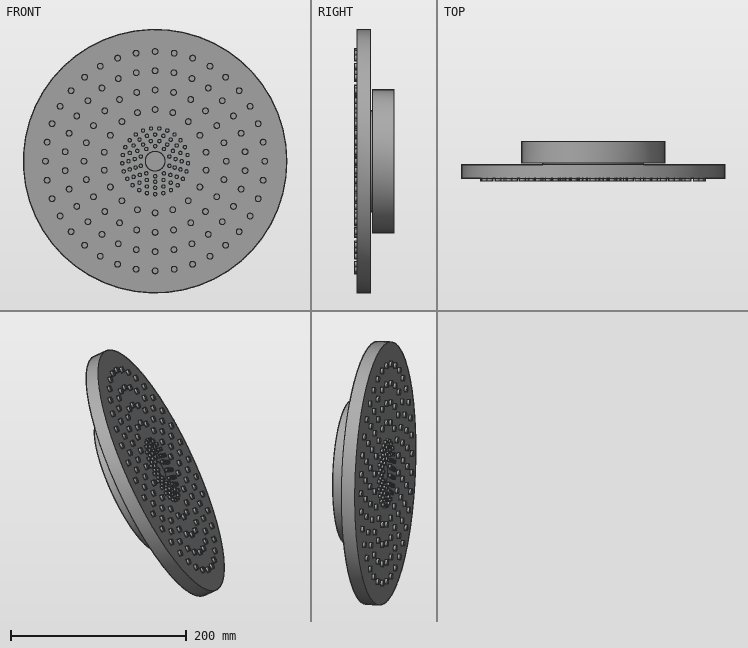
import cadquery as cq
import math

plate_diameter = 300.2
plate_thickness = 15.5
neck_diameter = 115.3
neck_thickness = 1.8
housing_diameter = 163.3
housing_thickness = 25.0
plug_diameter = 22.5

nozzle_length = 3.0
large_nozzle_diameter = 6.5
small_nozzle_diameter = 4.0

large_nozzle_rings = [(58.8, 18), (81.0, 24), (103.0, 30), (125.0, 36)]
small_nozzle_rings = [(17.0, 10), (23.5, 15), (30.3, 20), (37.5, 25)]
first_large_angle = 90.0
first_small_angle = -90.0

mat_diameter = 270.2
front_wall = plate_thickness / 2
mat_thickness = plate_thickness - front_wall

plate_front = 0.0
nozzle_tip = plate_front - nozzle_length
mat_front = plate_front + front_wall
plate_back = plate_front + plate_thickness
neck_back = plate_back + neck_thickness


def disc(diameter, front, thickness):
    """Round disc about the Y axis, from its front face towards +Y."""
    plane = cq.Workplane("XZ", origin=(0, front, 0))
    return plane.circle(diameter / 2).extrude(-thickness)


def nozzle_pegs(rings, diameter, first_angle):
    """Rings of round pegs from the nozzle tips back to the mat."""
    points = []
    for radius, count in rings:
        for i in range(count):
            angle = math.radians(first_angle + 360.0 * i / count)
            points.append((radius * math.cos(angle), radius * math.sin(angle)))
    tip_plane = cq.Workplane("XZ", origin=(0, nozzle_tip, 0))
    return tip_plane.pushPoints(points).circle(diameter / 2).extrude(nozzle_tip - mat_front)


large_pegs = nozzle_pegs(large_nozzle_rings, large_nozzle_diameter, first_large_angle)
small_pegs = nozzle_pegs(small_nozzle_rings, small_nozzle_diameter, first_small_angle)

centre_plug = disc(plug_diameter, plate_front, plate_thickness)


def make_nozzle_mat():
    """Mat that carries every nozzle, with a hole for the centre plug."""
    mat = disc(mat_diameter, mat_front, mat_thickness)
    return mat.union(large_pegs).union(small_pegs).cut(centre_plug)


def make_spray_plate():
    """Plate with a back recess for the mat and holes for the nozzles and the plug."""
    plate = disc(plate_diameter, plate_front, plate_thickness)
    plate = plate.cut(disc(mat_diameter, mat_front, mat_thickness))
    return plate.cut(large_pegs).cut(small_pegs).cut(centre_plug)


nozzle_mat = make_nozzle_mat()
spray_plate = make_spray_plate()

neck = disc(neck_diameter, plate_back, neck_thickness)

housing = disc(housing_diameter, neck_back, housing_thickness)

result = cq.Compound.makeCompound(
    [spray_plate.val(), nozzle_mat.val(), centre_plug.val(), neck.val(), housing.val()]
)